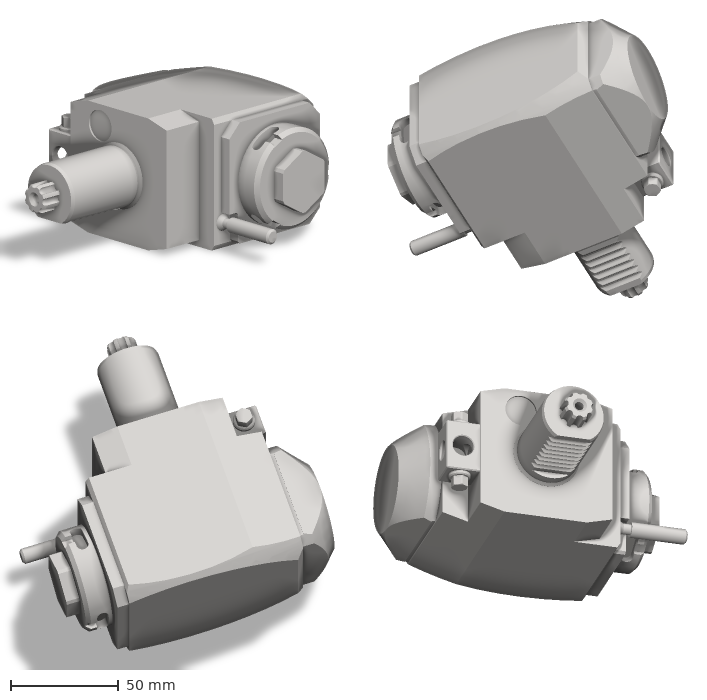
import cadquery as cq
import math


HEIGHT = 64.0
HALF_HEIGHT = HEIGHT / 2
BASE_HALF_WIDTH = 31.9
BASE_DEPTH = 20.9
SPINDLE_Y = 54.7
BACK_Y = 85.3
HOUSING_LEFT = -44.1
HOUSING_RIGHT = 42.1
TAPER_ANGLE = 15
LEFT_TAPER_X = -20.3
RIGHT_TAPER_X = 19.6
LEFT_CORNER_CHAMFER = 3.6
RIGHT_CHAMFER_LENGTH = 1.7
RIGHT_CHAMFER_HEIGHT = 2.7
BARREL_LEFT_RADIUS = 34.3
BARREL_CREST_RADIUS = 42.5
BARREL_CREST_X = 9.8
BARREL_RIGHT_RADIUS = 39.8

CAP_LEFT = -61.5
CAP_FACE_RADIUS = 20.9
CAP_RADIUS = 33.2
CAP_CONE_LENGTH = 11.6
CAP_BACK_OFFSET = 26.0
CAP_RIM_LENGTH = 1.8
CAP_RIM_HEIGHT = 24.8

FLANGE_RIGHT = 47.6
FLANGE_HALF_SIZE = 29.4
FLANGE_CHAMFER = 6.9
FLANGE_NOTCH_TOP = -14.0
FLANGE_NOTCH_DEPTH = 5.6
FLANGE_NOTCH_FILLET = 1.4
NECK_RADIUS = 21.0
NUT_LEFT = 48.3
NUT_RIGHT = 60.8
NUT_RADIUS = 24.4
NUT_CHAMFER = 2.0
NUT_SLOT_COUNT = 3
NUT_SLOT_ANGLE = 28
NUT_SLOT_X = 52.9
NUT_SLOT_LENGTH = 16.8
NUT_SLOT_WIDTH = 5.6
NUT_SLOT_FLOOR = 19.2
NUT_GROOVE_FLOOR = 21.8
HEXAGON_RIGHT = 67.0
HEXAGON_FLATS = 26.9
HEXAGON_CORNERS = 30.0

PIN_Y = 26.5
PIN_Z = -19.0
PIN_RADIUS = 3.6
PIN_RIGHT = 75.5
PIN_CHAMFER = 1.0
PIN_NECK_RADIUS = 2.5
PIN_FOOT_RADIUS = 4.0
PIN_FOOT_LENGTH = 2.4

COLLAR_RADIUS = 16.0
COLLAR_LENGTH = 1.4
UNDERCUT_RADIUS = 14.7
UNDERCUT_END = -2.5
SHANK_RADIUS = 15.0
SHANK_END = -44.8
SHANK_CHAMFER = 0.5
SHANK_CHAMFER_LENGTH = 2.0
FLAT_START = -6.9
FLAT_Z = -12.2
TOOTH_COUNT = 8
TOOTH_ROW_LENGTH = 28.0
TOOTH_PITCH = TOOTH_ROW_LENGTH / (TOOTH_COUNT - 1)
FIRST_TOOTH_Y = -11.6
TOOTH_DEPTH = 1.7
TOOTH_GAP_HALF_WIDTH = 1.8
TOOTH_ROOT_HALF_WIDTH = 0.4

SPLINE_END = -54.7
SPLINE_RADIUS = 7.1
SPLINE_CHAMFER = 0.8
SPLINE_CHAMFER_LENGTH = 1.4
SPLINE_LOBES = 8
SPLINE_GROOVE_RADIUS = 1.8
SPLINE_GROOVE_CENTRE = 7.3
CENTRE_HOLE_RADIUS = 2.1
CENTRE_HOLE_DEPTH = 8.4
CENTRE_SINK_RADIUS = 3.4

PLUG_X = -12.3
PLUG_Z = 21.5
PLUG_RADIUS = 7.5
PLUG_RECESS = 1.0

BLOCK_LEFT = -47.9
BLOCK_FRONT = 0.8
BLOCK_BACK = 16.0
BLOCK_HALF_HEIGHT = 12.3
BLOCK_CHAMFER = 0.5
SIDE_PORT_Y = 8.7
SIDE_PORT_RADIUS = 4.5
SIDE_PORT_DEPTH = 13.5
SIDE_PORT_PILOT_RADIUS = 1.4
SIDE_PORT_PILOT_DEPTH = 1.4
FITTING_X = -39.9
FITTING_Y = 7.3
FRONT_PORT_RADIUS = 5.0
FRONT_PORT_DEPTH = 13.2
PORT_CHAMFER = 0.4
WASHER_RADIUS = 5.2
WASHER_HEIGHT = 1.8
WASHER_CHAMFER = 0.5
FITTING_FLATS = 7.1
FITTING_CORNERS = 8.0
FITTING_HEIGHT = 6.6
FITTING_CHAMFER_LENGTH = 0.3

TAPER_SLOPE = math.tan(math.radians(TAPER_ANGLE))


def left_taper_height(x):
    """Half height of the housing where it narrows toward the left."""
    return HALF_HEIGHT - (LEFT_TAPER_X - x) * TAPER_SLOPE


def box(x0, x1, y0, y1, z0, z1):
    """Box between two opposite corners."""
    return cq.Workplane("XY").box(x1 - x0, y1 - y0, z1 - z0, centered=False).translate((x0, y0, z0))


def symmetric_prism(upper_points, y0, y1):
    """Prism along Y whose XZ outline is the given upper edge, mirrored about Z = 0."""
    lower_points = [(x, -z) for x, z in reversed(upper_points)]
    outline = cq.Workplane("XZ").polyline(upper_points + lower_points).close()
    return outline.extrude(y0 - y1).translate((0, y0, 0))


def turned_on_x(profile, y=0, z=0):
    """Solid of revolution about a line along X; the profile lists (x, radius)."""
    points = [(profile[0][0], 0)] + profile + [(profile[-1][0], 0)]
    solid = cq.Workplane("XY").polyline(points).close().revolve(360, (0, 0), (1, 0))
    return solid.translate((0, y, z))


def turned_on_y(profile):
    """Solid of revolution about Y; the profile lists (radius, y)."""
    points = [(0, profile[0][1])] + profile + [(0, profile[-1][1])]
    return cq.Workplane("XY").polyline(points).close().revolve(360, (0, 0), (0, 1))


def blunt_hexagon(plane, flats, corners, length):
    """Hexagonal prism with its corners on the local Y axis, each trimmed to a narrow flat."""
    corner_circle = 2 / math.sqrt(3)
    hexagon = cq.Workplane(plane).polygon(6, flats * corner_circle).extrude(length)
    trim = cq.Workplane(plane).polygon(6, corners * corner_circle).extrude(length)
    normal = (1, 0, 0) if plane == "YZ" else (0, 0, 1)
    return hexagon.rotate((0, 0, 0), normal, 30).intersect(trim)


def make_base():
    right_height = HALF_HEIGHT - (BASE_HALF_WIDTH - RIGHT_TAPER_X) * TAPER_SLOPE
    upper_edge = [
        (-BASE_HALF_WIDTH, left_taper_height(-BASE_HALF_WIDTH)),
        (LEFT_TAPER_X, HALF_HEIGHT),
        (RIGHT_TAPER_X, HALF_HEIGHT),
        (BASE_HALF_WIDTH, right_height),
    ]
    return symmetric_prism(upper_edge, 0, BASE_DEPTH)


def make_housing():
    upper_edge = [
        (HOUSING_LEFT, left_taper_height(HOUSING_LEFT)),
        (LEFT_TAPER_X, HALF_HEIGHT),
        (HOUSING_RIGHT - RIGHT_CHAMFER_LENGTH, HALF_HEIGHT),
        (HOUSING_RIGHT, HALF_HEIGHT - RIGHT_CHAMFER_HEIGHT),
    ]
    prism = symmetric_prism(upper_edge, BASE_DEPTH, BACK_Y)
    prism = prism.edges("|Z and >Y and <X").chamfer(LEFT_CORNER_CHAMFER)

    barrel = (
        cq.Workplane("XY")
        .moveTo(HOUSING_LEFT, 0)
        .lineTo(HOUSING_LEFT, BARREL_LEFT_RADIUS)
        .threePointArc((BARREL_CREST_X, BARREL_CREST_RADIUS), (HOUSING_RIGHT, BARREL_RIGHT_RADIUS))
        .lineTo(HOUSING_RIGHT, 0)
        .close()
        .revolve(360, (0, 0), (1, 0))
        .translate((0, SPINDLE_Y, 0))
    )
    front_half = box(HOUSING_LEFT, HOUSING_RIGHT, 0, SPINDLE_Y, -HALF_HEIGHT, HALF_HEIGHT)
    return prism.intersect(barrel.union(front_half))


def make_cap():
    turned = turned_on_x(
        [
            (CAP_LEFT, CAP_FACE_RADIUS),
            (CAP_LEFT + CAP_CONE_LENGTH, CAP_RADIUS),
            (HOUSING_LEFT, CAP_RADIUS),
        ],
        y=SPINDLE_Y,
    )
    rim_x = HOUSING_LEFT - CAP_RIM_LENGTH
    upper_edge = [
        (CAP_LEFT, left_taper_height(CAP_LEFT)),
        (rim_x, left_taper_height(rim_x)),
        (rim_x, CAP_RIM_HEIGHT),
        (HOUSING_LEFT, CAP_RIM_HEIGHT),
    ]
    return turned.intersect(symmetric_prism(upper_edge, 0, SPINDLE_Y + CAP_BACK_OFFSET))


def make_flange():
    front_y = SPINDLE_Y - FLANGE_HALF_SIZE
    flange = box(
        HOUSING_RIGHT, FLANGE_RIGHT,
        front_y, SPINDLE_Y + FLANGE_HALF_SIZE,
        -FLANGE_HALF_SIZE, FLANGE_HALF_SIZE,
    )
    flange = flange.edges("|X").chamfer(FLANGE_CHAMFER)
    notch = box(
        HOUSING_RIGHT, FLANGE_RIGHT,
        front_y - FLANGE_NOTCH_DEPTH, front_y + FLANGE_NOTCH_DEPTH,
        -FLANGE_HALF_SIZE, FLANGE_NOTCH_TOP,
    )
    return flange.cut(notch.edges("|X and >Y and >Z").fillet(FLANGE_NOTCH_FILLET))


def make_ring_nut():
    nut = turned_on_x(
        [
            (FLANGE_RIGHT, NECK_RADIUS),
            (NUT_LEFT, NECK_RADIUS),
            (NUT_LEFT, NUT_RADIUS),
            (NUT_RIGHT - NUT_CHAMFER, NUT_RADIUS),
            (NUT_RIGHT, NUT_RADIUS - NUT_CHAMFER),
        ]
    )
    slot = cq.Workplane("XY").workplane(offset=NUT_SLOT_FLOOR).center(NUT_SLOT_X, 0)
    slot = slot.slot2D(NUT_SLOT_LENGTH, NUT_SLOT_WIDTH, 90).extrude(NUT_RADIUS - NUT_SLOT_FLOOR)
    groove = box(
        NUT_SLOT_X, NUT_RIGHT,
        -NUT_SLOT_WIDTH / 2, NUT_SLOT_WIDTH / 2,
        NUT_GROOVE_FLOOR, NUT_RADIUS,
    )
    cutter = slot.union(groove)
    for index in range(NUT_SLOT_COUNT):
        angle = NUT_SLOT_ANGLE + index * 360 / NUT_SLOT_COUNT
        nut = nut.cut(cutter.rotate((0, 0, 0), (1, 0, 0), angle))
    return nut.translate((0, SPINDLE_Y, 0))


def make_spindle_hexagon():
    hexagon = blunt_hexagon("YZ", HEXAGON_FLATS, HEXAGON_CORNERS, HEXAGON_RIGHT - NUT_RIGHT)
    return hexagon.translate((NUT_RIGHT, SPINDLE_Y, 0))


def make_pin():
    return turned_on_x(
        [
            (HOUSING_RIGHT, PIN_FOOT_RADIUS),
            (HOUSING_RIGHT + PIN_FOOT_LENGTH, PIN_NECK_RADIUS),
            (NUT_LEFT, PIN_NECK_RADIUS),
            (NUT_LEFT, PIN_RADIUS),
            (PIN_RIGHT - PIN_CHAMFER, PIN_RADIUS),
            (PIN_RIGHT, PIN_RADIUS - PIN_CHAMFER),
        ],
        y=PIN_Y,
        z=PIN_Z,
    )


def make_shank():
    collar_chamfer = COLLAR_RADIUS - UNDERCUT_RADIUS
    shank = turned_on_y(
        [
            (COLLAR_RADIUS, 0),
            (COLLAR_RADIUS, collar_chamfer - COLLAR_LENGTH),
            (UNDERCUT_RADIUS, -COLLAR_LENGTH),
            (UNDERCUT_RADIUS, UNDERCUT_END),
            (SHANK_RADIUS, UNDERCUT_END),
            (SHANK_RADIUS, SHANK_END + SHANK_CHAMFER_LENGTH),
            (SHANK_RADIUS - SHANK_CHAMFER, SHANK_END),
        ]
    )
    shank = shank.cut(
        box(-SHANK_RADIUS, SHANK_RADIUS, SHANK_END, FLAT_START, -SHANK_RADIUS, FLAT_Z)
    )
    root_z = FLAT_Z + TOOTH_DEPTH
    gap_outline = [
        (-TOOTH_GAP_HALF_WIDTH, FLAT_Z),
        (-TOOTH_ROOT_HALF_WIDTH, root_z),
        (TOOTH_ROOT_HALF_WIDTH, root_z),
        (TOOTH_GAP_HALF_WIDTH, FLAT_Z),
    ]
    tooth_gap = cq.Workplane("YZ").polyline(gap_outline).close().extrude(SHANK_RADIUS, both=True)
    for index in range(TOOTH_COUNT):
        shank = shank.cut(tooth_gap.translate((0, FIRST_TOOTH_Y - index * TOOTH_PITCH, 0)))
    return shank


def make_spline():
    spline = turned_on_y(
        [
            (SPLINE_RADIUS, SHANK_END),
            (SPLINE_RADIUS, SPLINE_END + SPLINE_CHAMFER_LENGTH),
            (SPLINE_RADIUS - SPLINE_CHAMFER, SPLINE_END),
        ]
    )
    grooves = (
        cq.Workplane("XZ", origin=(0, SHANK_END, 0))
        .polarArray(SPLINE_GROOVE_CENTRE, 0, 360, SPLINE_LOBES)
        .circle(SPLINE_GROOVE_RADIUS)
        .extrude(SHANK_END - SPLINE_END)
    )
    sink_depth = CENTRE_SINK_RADIUS - CENTRE_HOLE_RADIUS
    centre_hole = turned_on_y(
        [
            (CENTRE_SINK_RADIUS, SPLINE_END),
            (CENTRE_HOLE_RADIUS, SPLINE_END + sink_depth),
            (CENTRE_HOLE_RADIUS, SPLINE_END + CENTRE_HOLE_DEPTH),
        ]
    )
    return spline.cut(grooves).cut(centre_hole)


def make_plug_recess():
    recess = cq.Workplane("XZ").center(PLUG_X, PLUG_Z).circle(PLUG_RADIUS)
    return recess.extrude(-PLUG_RECESS)


def make_coolant_block():
    block = box(
        BLOCK_LEFT, -BASE_HALF_WIDTH,
        BLOCK_FRONT, BLOCK_BACK,
        -BLOCK_HALF_HEIGHT, BLOCK_HALF_HEIGHT,
    )
    block = block.faces("<X or <Y").edges().edges("not >X").chamfer(BLOCK_CHAMFER)

    side_port_end = BLOCK_LEFT + SIDE_PORT_DEPTH
    side_port = turned_on_x(
        [
            (BLOCK_LEFT, SIDE_PORT_RADIUS + PORT_CHAMFER),
            (BLOCK_LEFT + PORT_CHAMFER, SIDE_PORT_RADIUS),
            (side_port_end, SIDE_PORT_RADIUS),
            (side_port_end, SIDE_PORT_PILOT_RADIUS),
            (side_port_end + SIDE_PORT_PILOT_DEPTH, SIDE_PORT_PILOT_RADIUS),
        ],
        y=SIDE_PORT_Y,
    )
    front_port = turned_on_y(
        [
            (FRONT_PORT_RADIUS + PORT_CHAMFER, BLOCK_FRONT),
            (FRONT_PORT_RADIUS, BLOCK_FRONT + PORT_CHAMFER),
            (FRONT_PORT_RADIUS, BLOCK_FRONT + FRONT_PORT_DEPTH),
        ]
    ).translate((FITTING_X, 0, 0))
    return block.cut(side_port).cut(front_port)


def make_fitting():
    """Hexagon-headed plug on top of the coolant block."""
    washer = cq.Workplane("XY").circle(WASHER_RADIUS).extrude(WASHER_HEIGHT)
    washer = washer.faces(">Z").chamfer(WASHER_CHAMFER)
    head = blunt_hexagon("XY", FITTING_FLATS, FITTING_CORNERS, FITTING_HEIGHT)
    envelope = cq.Workplane("XY").circle(FITTING_CORNERS / 2).extrude(FITTING_HEIGHT)
    corner_height = (FITTING_CORNERS - FITTING_FLATS) / 2
    envelope = envelope.faces(">Z").chamfer(FITTING_CHAMFER_LENGTH, corner_height)
    head = head.intersect(envelope)
    return washer.union(head).translate((FITTING_X, FITTING_Y, BLOCK_HALF_HEIGHT))


upper_fitting = make_fitting()
lower_fitting = upper_fitting.mirror("XY")

result = make_base()
for feature in (
    make_housing(),
    make_cap(),
    make_flange(),
    make_ring_nut(),
    make_spindle_hexagon(),
    make_pin(),
    make_shank(),
    make_spline(),
    make_coolant_block(),
    upper_fitting,
    lower_fitting,
):
    result = result.union(feature)
result = result.cut(make_plug_recess())